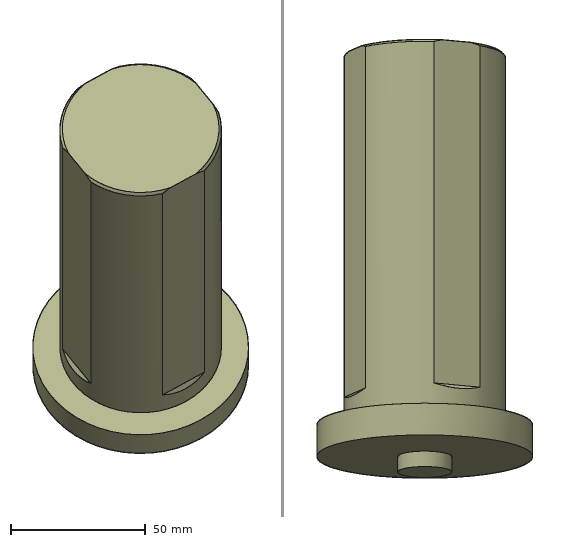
import cadquery as cq

total_height = 157.8
pin_diameter = 20.0
pin_height = 5.8
flange_diameter = 80.0
flange_thickness = 12.0
body_diameter = 60.0
flats_width = 57.0
flats_start = 27.6
top_chamfer = 1.0

flange_top = pin_height + flange_thickness
flat_depth = (body_diameter - flats_width) / 2


def disc(diameter, bottom, top):
    """Upright cylinder on the Z axis between two heights."""
    return cq.Workplane("XY").workplane(offset=bottom).circle(diameter / 2).extrude(top - bottom)


def flat_cutter(angle):
    """Cutter for one flat, ending at the bottom in a 45 degree run-out."""
    inner = flats_width / 2
    outer = body_diameter / 2
    profile = [
        (inner, flats_start),
        (outer, flats_start - flat_depth),
        (outer, total_height),
        (inner, total_height),
    ]
    cutter = cq.Workplane("XZ").polyline(profile).close().extrude(body_diameter / 2, both=True)
    return cutter.rotate((0, 0, 0), (0, 0, 1), angle)


body = disc(body_diameter, flange_top, total_height).faces(">Z").chamfer(top_chamfer)
for angle in (0, 90, 180, 270):
    body = body.cut(flat_cutter(angle))

pin = disc(pin_diameter, 0, pin_height)
flange = disc(flange_diameter, pin_height, flange_top)

result = pin.union(flange).union(body)